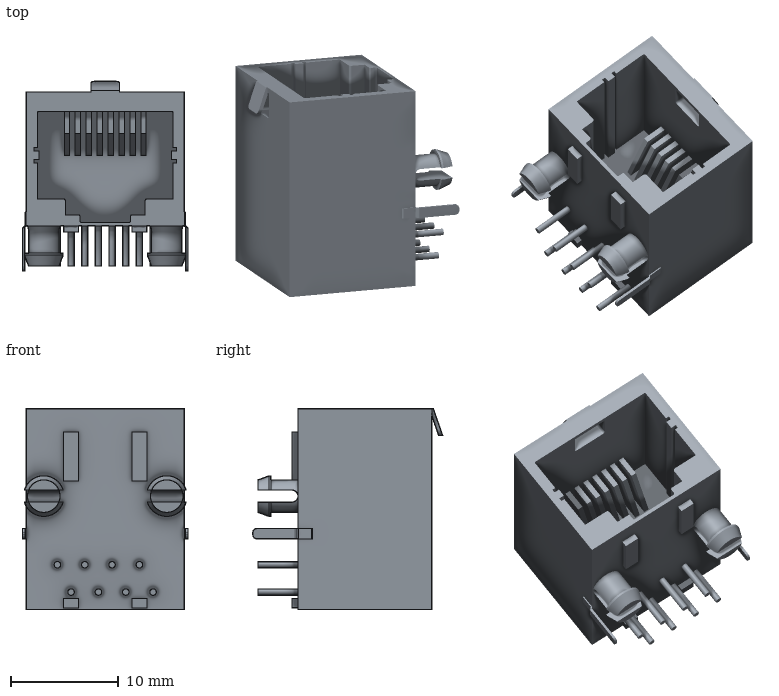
import cadquery as cq


body_width = 14.7
body_depth = 12.46
body_height = 18.67

cavity_half_width = 6.32
cavity_back = 10.63
cavity_front = 2.53
cavity_depth = 14.0
cavity_floor = body_height - cavity_depth
latch_step_half_width = 3.70
latch_step_front = 1.03
latch_groove_half_width = 2.35
latch_groove_front = 0.33
latch_step_fillet = 0.22
latch_groove_fillet = 0.15
cavity_back_fillet = 0.12

rib_center_y = 6.58
rib_width = 0.78
rib_reach = 0.185
notch_span = 1.45
notch_depth = 0.325

contact_count = 8
contact_pitch = 1.016
contact_width = 0.5
contact_flat = 2.04
contact_reach = 4.08
contact_slope_height = 4.0

window_width = 3.43
window_top = body_height - 0.5
window_bottom = body_height - 2.9
window_fillet = 0.25
spring_width = 2.67
spring_drop = 2.5
spring_reach = 1.0
spring_top_reach = 0.13
spring_thickness_y = 0.38
spring_fillet = 0.45

standoff_x = 3.175
standoff_width = 1.39
standoff_height = 0.56
upper_standoff_bottom = 11.97
upper_standoff_top = 16.51
lower_standoff_bottom = 0.16
lower_standoff_top = 1.05

pin_pitch = 2.54
pin_diameter = 0.6
pin_length = 3.73
pins_per_row = 4
pin_row_shift = pin_pitch / 4
lower_row_z = 1.63
upper_row_z = lower_row_z + pin_pitch

post_x = 5.715
post_z = 10.55
post_radius = 1.51
post_length = pin_length
barb_radius = 1.89
barb_start = 2.52
barb_rim = 0.19
post_slot = 1.1

tab_span = 15.4
tab_z = 7.06
tab_width = 0.97
tab_thickness = 0.23
tab_proud = 0.1
tab_top = 1.36
tab_jog_start = 0.05
tab_length = 4.2
tab_tip_fillet = 0.4
tab_bend_fillet = 0.15


def box(x_min, x_max, y_min, y_max, z_min, z_max):
    """Axis-aligned box between two corners."""
    size = (x_max - x_min, y_max - y_min, z_max - z_min)
    return cq.Workplane("XY").box(*size, centered=False).translate((x_min, y_min, z_min))


def mirrored_pair(shape):
    """The shape and its mirror image across the X = 0 plane."""
    return shape.union(shape.mirror("YZ"))


def toward_board(x, z):
    """Workplane on the board face whose normal points along -Y."""
    return cq.Workplane("XZ", origin=(x, 0, z))


def plug_cavity():
    def slab(half_width, y_min, y_max):
        return box(-half_width, half_width, y_min, y_max, cavity_floor, body_height)

    groove = slab(latch_groove_half_width, latch_groove_front, cavity_front)
    cavity = slab(cavity_half_width, cavity_front, cavity_back)
    cavity = cavity.union(slab(latch_step_half_width, latch_step_front, cavity_front)).union(groove)

    notch_half = notch_span / 2
    notch_wall = cavity_half_width + notch_depth
    cavity = cavity.union(slab(notch_wall, rib_center_y - notch_half, rib_center_y + notch_half))
    rib = box(
        cavity_half_width - rib_reach,
        notch_wall,
        rib_center_y - rib_width / 2,
        rib_center_y + rib_width / 2,
        cavity_floor,
        body_height,
    )
    cavity = cavity.cut(mirrored_pair(rib))

    rounded_corners = [
        (cavity_half_width, cavity_back, cavity_back_fillet),
        (latch_step_half_width, cavity_front, latch_step_fillet),
        (latch_groove_half_width, latch_step_front, latch_groove_fillet),
        (latch_groove_half_width, latch_groove_front, latch_groove_fillet),
    ]
    middle_z = (cavity_floor + body_height) / 2
    for x, y, radius in rounded_corners:
        for side in (-1, 1):
            corner = cq.NearestToPointSelector((side * x, y, middle_z))
            cavity = cavity.edges(corner).fillet(radius)
    return cavity


def back_window():
    half = window_width / 2
    window = box(-half, half, cavity_back, body_depth, window_bottom, window_top)
    return window.edges("|Y and <Z").fillet(window_fillet)


def contacts():
    """Blades on the back wall: a flat top, then a slope down to the cavity floor."""
    profile = [
        (cavity_back, cavity_floor),
        (cavity_back, cavity_floor + contact_slope_height),
        (cavity_back - contact_flat, cavity_floor + contact_slope_height),
        (cavity_back - contact_reach, cavity_floor),
    ]
    blade = cq.Workplane("YZ").polyline(profile).close().extrude(contact_width / 2, both=True)
    row = cq.Workplane("XY")
    for index in range(contact_count):
        x = (index - (contact_count - 1) / 2) * contact_pitch
        row = row.union(blade.translate((x, 0, 0)))
    return row


def grounding_spring():
    """Leaf leaning out from the top edge of the back wall, with a rounded free end."""
    slope = (spring_reach - spring_top_reach) / spring_drop
    inner_end = spring_reach - spring_thickness_y
    inner_root_drop = spring_drop - inner_end / slope
    profile = [
        (body_depth, body_height),
        (body_depth + spring_top_reach, body_height),
        (body_depth + spring_reach, body_height - spring_drop),
        (body_depth + inner_end, body_height - spring_drop),
        (body_depth, body_height - inner_root_drop),
    ]
    leaf = cq.Workplane("YZ").polyline(profile).close().extrude(spring_width / 2, both=True)
    half = spring_width / 2
    outline = box(-half, half, body_depth, body_depth + spring_reach, body_height - spring_drop, body_height)
    outline = outline.edges("|Y and <Z").fillet(spring_fillet)
    return leaf.intersect(outline)


def standoffs():
    x_min = standoff_x - standoff_width / 2
    x_max = standoff_x + standoff_width / 2
    upper = box(x_min, x_max, -standoff_height, 0, upper_standoff_bottom, upper_standoff_top)
    lower = box(x_min, x_max, -standoff_height, 0, lower_standoff_bottom, lower_standoff_top)
    return mirrored_pair(upper.union(lower))


def pins():
    """Two rows of pins, staggered by half a pitch."""
    all_pins = cq.Workplane("XY")
    for row_z, shift in ((lower_row_z, pin_row_shift), (upper_row_z, -pin_row_shift)):
        for index in range(pins_per_row):
            x = (index - (pins_per_row - 1) / 2) * pin_pitch + shift
            all_pins = all_pins.union(toward_board(x, row_z).circle(pin_diameter / 2).extrude(pin_length))
    return all_pins


def snap_post():
    """Barbed round post, split lengthwise by a slot with a rounded end."""
    profile = [
        (0, 0),
        (post_radius, 0),
        (post_radius, -barb_start),
        (barb_radius, -barb_start),
        (barb_radius, -barb_start - barb_rim),
        (post_radius, -post_length),
        (0, -post_length),
    ]
    post = cq.Workplane("XY").polyline(profile).close().revolve(360, (0, 0), (0, 1))
    half = post_slot / 2
    slot = box(-barb_radius, barb_radius, -post_length, -half, -half, half)
    slot_end = cq.Workplane("YZ").center(-half, 0).circle(half).extrude(barb_radius, both=True)
    return post.cut(slot).cut(slot_end).translate((post_x, 0, post_z))


def shield_tab():
    """Foil on the +X side that steps outward at the board face into a solder leg with a round tip."""
    wall = body_width / 2
    foil_face = wall + tab_proud
    leg_outer = tab_span / 2
    leg_inner = leg_outer - tab_thickness
    outer_jog_end = tab_jog_start - (leg_outer - foil_face)
    inner_jog_end = -(leg_inner - wall)
    profile = [
        (wall, tab_top),
        (foil_face, tab_top - tab_proud),
        (foil_face, tab_jog_start),
        (leg_outer, outer_jog_end),
        (leg_outer, -tab_length),
        (leg_inner, -tab_length),
        (leg_inner, inner_jog_end),
        (wall, 0),
    ]
    strip = cq.Workplane("XY").polyline(profile).close().extrude(tab_width / 2, both=True)
    strip = strip.edges("|X and <Y").fillet(tab_tip_fillet)
    strip = strip.edges(cq.NearestToPointSelector((leg_outer, outer_jog_end, 0))).fillet(tab_bend_fillet)
    return strip.translate((0, 0, tab_z))


housing = box(-body_width / 2, body_width / 2, 0, body_depth, 0, body_height)
housing = housing.cut(plug_cavity()).cut(back_window())

result = (
    housing
    .union(contacts())
    .union(grounding_spring())
    .union(standoffs())
    .union(pins())
    .union(mirrored_pair(snap_post()))
    .union(mirrored_pair(shield_tab()))
)